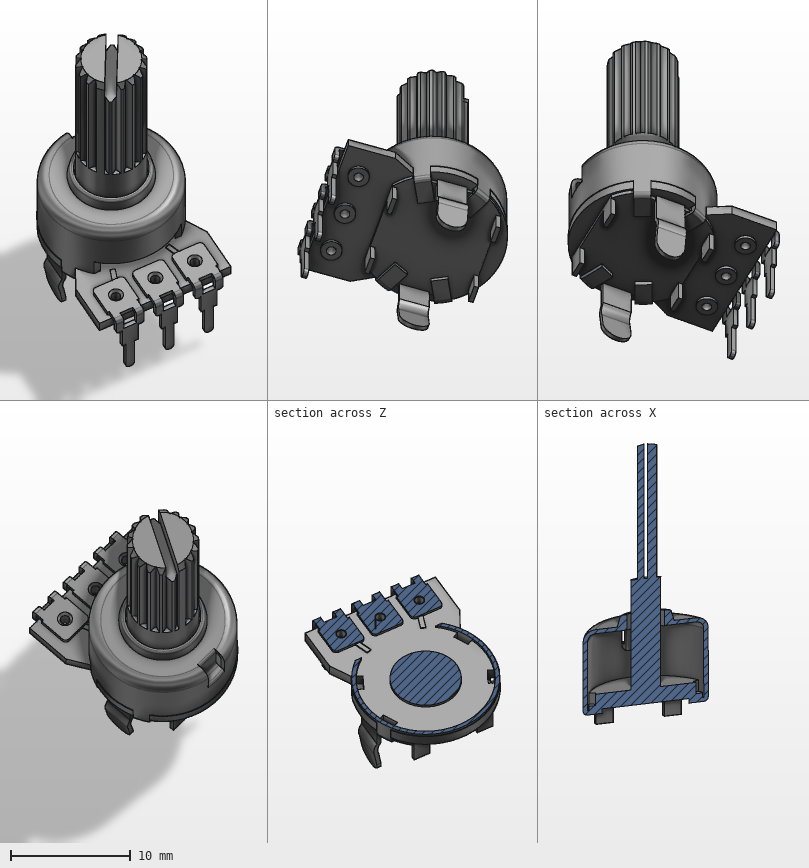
import cadquery as cq
import math


sheet = 0.4

wafer_thickness = 1.0
body_top = 6.7
collar_top = 7.7
spline_bottom = 10.7
shaft_top = 22.7

body_radius = 6.2
body_edge_fillet = 1.0
wall_inner_radius = body_radius - sheet
collar_base_radius = 3.7
collar_top_radius = 3.5
collar_fillet = 0.2
collar_bore_radius = 3.15
side_opening_x = 4.6
side_opening_top = 2.6

window_width = 2.0
window_wall_x = -5.15
window_depth = 2.55
window_floor = body_top - window_depth
window_round = 0.25
window_cove = 0.3

shaft_radius = 3.0
shaft_chamfer = 0.45
spline_count = 18
spline_root_radius = 2.5
spline_half_width_angle = 7.5
slot_width = 1.0
slot_depth = 2.0
slot_angle = 150.0
clipped_groove_angles = (160, 320)

wafer_radius = 6.25
wafer_end_x = 9.4
wafer_shoulder_x = 5.25
wafer_neck_x = 3.3
wafer_neck_y = 5.2

crimp_angle = 64.0
crimp_width = 1.44
crimp_bottom = -0.8
crimp_foot_inner_radius = 3.8
notch_inner_radius = 5.2

bracket_half_x = 4.75
bracket_half_y = 5.06
bracket_corner_radius = 6.1
leg_root_width = 3.66
leg_width = 2.6
leg_root_half_y = 5.2
leg_outer_y = 5.4
leg_bottom = -6.8
tab_width = 1.52
tab_center_y = 3.03
tab_bottom = -2.3

terminal_pitch = 3.75
pad_start_x = 6.2
pad_end_x = 8.97
pad_width = 3.0
pad_corner = 0.4
terminal_end_x = 10.2
bend_width = 2.65
bend_bottom = -0.27
bend_corner = 0.32
bend_slot_width = 1.2
bend_slot_x = 9.53
bend_slot_bottom = 0.05
shoulder_width = 1.52
shoulder_bottom = -2.3
pin_width = 0.84
pin_bottom = -5.53
rivet_x = 7.7
rivet_radius = 0.9
rivet_depth = 0.3
rivet_hole_radius = 0.4
rivet_flare_radius = 0.625

track_thickness = 0.1
track_width = 0.45
track_length = 1.6
track_start = (5.0, 2.6)
track_angle = 19.0


def block(x_range, y_range, z_range):
    """Axis-aligned box spanning the given coordinate ranges."""
    sizes = [high - low for low, high in (x_range, y_range, z_range)]
    corner = (x_range[0], y_range[0], z_range[0])
    return cq.Workplane("XY").box(*sizes, centered=False).translate(corner)


def cylinder(radius, bottom, top):
    """Cylinder on the shaft axis between two heights."""
    return cq.Workplane("XY").workplane(offset=bottom).circle(radius).extrude(top - bottom)


def make_window():
    """Cutter for the window: rounded upper lip, flat wall and coved floor."""
    outside_x = -body_radius - 1.0
    lip_x = window_wall_x + window_round
    cove_x = window_wall_x - window_cove
    profile = (
        cq.Workplane("XZ")
        .moveTo(outside_x, body_top)
        .lineTo(lip_x, body_top)
        .radiusArc((window_wall_x, body_top - window_round), -window_round)
        .lineTo(window_wall_x, window_floor + window_cove)
        .radiusArc((cove_x, window_floor), window_cove)
        .lineTo(outside_x, window_floor)
        .close()
    )
    return profile.extrude(window_width / 2, both=True)


def make_housing():
    """Hollow cup with its window, side opening and the collar around the shaft."""
    body = cylinder(body_radius, wafer_thickness, body_top)
    body = body.faces(">Z").edges().fillet(body_edge_fillet)
    collar = (
        cq.Workplane("XZ")
        .moveTo(0, body_top)
        .lineTo(collar_base_radius, body_top)
        .lineTo(collar_top_radius, collar_top)
        .lineTo(0, collar_top)
        .close()
        .revolve(360, (0, 0, 0), (0, 1, 0))
        .faces(">Z").edges().fillet(collar_fillet)
    )
    side_opening = block(
        (side_opening_x, body_radius), (-body_radius, body_radius), (wafer_thickness, side_opening_top)
    )
    cavity = cylinder(wall_inner_radius, wafer_thickness, body_top - sheet)
    cavity = cavity.faces(">Z").edges().fillet(body_edge_fillet - sheet)
    strap = block(
        (-wall_inner_radius, window_wall_x + sheet),
        (-window_width / 2, window_width / 2),
        (window_floor - sheet, body_top - sheet / 2),
    )
    body = body.cut(cavity).union(strap).cut(make_window())
    outer_lip = (-body_radius, 0, window_floor)
    body = body.edges(cq.selectors.NearestToPointSelector(outer_lip)).fillet(window_round)
    shaft_clearance = cylinder(collar_bore_radius, body_top - sheet, collar_top)
    return body.cut(side_opening).union(collar).cut(shaft_clearance)


def make_groove(degrees):
    """V-groove of the spline, centred on the given direction."""
    half_angle = math.radians(spline_half_width_angle)
    depth = shaft_radius * math.cos(half_angle) - spline_root_radius
    half_width = shaft_radius * math.sin(half_angle)
    overcut = 2
    tip_x = spline_root_radius + overcut * depth
    tip_y = overcut * half_width
    groove = (
        cq.Workplane("XY")
        .workplane(offset=spline_bottom)
        .polyline([(spline_root_radius, 0), (tip_x, tip_y), (tip_x, -tip_y)])
        .close()
        .extrude(shaft_top - spline_bottom)
    )
    return groove.rotate((0, 0, 0), (0, 0, 1), degrees)


def make_shaft():
    """Shaft with a screwdriver slot; the two grooves beside the slot stop at one of its side planes."""
    shaft = cylinder(shaft_radius, wafer_thickness, shaft_top).faces(">Z").chamfer(shaft_chamfer)
    span = 2 * shaft_radius
    slot_side = block((-span, span), (-slot_width / 2, span), (spline_bottom, shaft_top))
    slot_side = slot_side.rotate((0, 0, 0), (0, 0, 1), slot_angle - 180)
    for index in range(spline_count):
        degrees = index * 360 // spline_count
        groove = make_groove(degrees)
        if degrees in clipped_groove_angles:
            groove = groove.intersect(slot_side)
        shaft = shaft.cut(groove)
    slot = block((-span, span), (-slot_width / 2, slot_width / 2), (shaft_top - slot_depth, shaft_top))
    return shaft.cut(slot.rotate((0, 0, 0), (0, 0, 1), slot_angle))


def at_crimps(inner_radius, z_range):
    """Four radial boxes covering the crimp tab positions, reaching outward past the wafer."""
    boxes = cq.Workplane("XY")
    radial = block((inner_radius, wafer_radius), (-crimp_width / 2, crimp_width / 2), z_range)
    for degrees in (crimp_angle, 180 - crimp_angle, 180 + crimp_angle, 360 - crimp_angle):
        boxes = boxes.add(radial.rotate((0, 0, 0), (0, 0, 1), degrees))
    return boxes.combine()


def make_wafer():
    """Round wafer with a shouldered tail toward +X and notches for the crimp tabs."""
    half_width = wafer_radius
    outline = [
        (0, wafer_neck_y),
        (wafer_neck_x, wafer_neck_y),
        (wafer_shoulder_x, half_width),
        (wafer_end_x, half_width),
        (wafer_end_x, -half_width),
        (wafer_shoulder_x, -half_width),
        (wafer_neck_x, -wafer_neck_y),
        (0, -wafer_neck_y),
    ]
    tail = cq.Workplane("XY").polyline(outline).close().extrude(wafer_thickness)
    wafer = cylinder(wafer_radius, 0, wafer_thickness).union(tail)
    return wafer.cut(at_crimps(notch_inner_radius, (0, wafer_thickness)))


def make_crimps():
    """Four housing tabs passing down the wafer notches and bent inward beneath it."""
    cup = cylinder(body_radius, crimp_bottom, wafer_thickness)
    cup = cup.faces("<Z").edges().fillet(sheet)
    cup = cup.cut(cylinder(wall_inner_radius, crimp_bottom + sheet, wafer_thickness))
    return cup.intersect(at_crimps(crimp_foot_inner_radius, (crimp_bottom, wafer_thickness)))


def make_leg():
    """Snap-in leg on the -Y side: bulged profile with a round end."""
    bend_start = (-leg_outer_y, -2.85)
    bulge_peak = (-5.7, -3.5)
    bulge_end = (-5.63, -4.18)
    tip = (-5.22, leg_bottom)

    def inward(point):
        return (point[0] + sheet, point[1])

    profile = (
        cq.Workplane("YZ")
        .moveTo(-leg_outer_y, 0)
        .lineTo(*bend_start)
        .threePointArc(bulge_peak, bulge_end)
        .lineTo(*tip)
        .lineTo(*inward(tip))
        .lineTo(*inward(bulge_end))
        .threePointArc(inward(bulge_peak), inward(bend_start))
        .lineTo(sheet - leg_outer_y, 0)
        .close()
        .extrude(leg_width / 2, both=True)
    )
    return profile.intersect(round_ended_strip("XZ", leg_width, 0, leg_bottom, 2 * leg_outer_y))


def round_ended_strip(plane, width, top, bottom, depth):
    """Vertical strip with a semicircular lower end, extruded both ways from the plane."""
    half = width / 2
    return (
        cq.Workplane(plane)
        .moveTo(-half, top)
        .lineTo(-half, bottom + half)
        .threePointArc((0, bottom), (half, bottom + half))
        .lineTo(half, top)
        .close()
        .extrude(depth, both=True)
    )


def make_bracket():
    """Flat plate with two snap-in legs and four locating tabs bent down from its ends."""
    plate = block(
        (-bracket_half_x, bracket_half_x), (-bracket_half_y, bracket_half_y), (-sheet, 0)
    ).intersect(cylinder(bracket_corner_radius, -sheet, 0))
    roots = block((-leg_root_width / 2, leg_root_width / 2), (-leg_root_half_y, leg_root_half_y), (-sheet, 0))
    leg = make_leg()
    bracket = plate.union(roots).union(leg).union(leg.mirror("XZ"))
    for x_start in (-bracket_half_x, bracket_half_x - sheet):
        for y_center in (-tab_center_y, tab_center_y):
            y_range = (y_center - tab_width / 2, y_center + tab_width / 2)
            bracket = bracket.union(block((x_start, x_start + sheet), y_range, (tab_bottom, 0)))
    return bracket


def make_terminal():
    """Riveted pad that bends down at its outer end into a pin; centred on Y = 0."""
    pad_top = wafer_thickness + sheet
    leg_x = terminal_end_x - sheet

    def centered(width):
        return (-width / 2, width / 2)

    pad = block((pad_start_x, pad_end_x), centered(pad_width), (wafer_thickness, pad_top))
    pad = pad.edges("|Z and <X").fillet(pad_corner)
    bend = block((pad_start_x + pad_corner, terminal_end_x), centered(bend_width), (bend_bottom, pad_top))
    bend = bend.edges("|Y and >X and >Z").fillet(sheet)
    bend = bend.cut(
        block((pad_start_x, leg_x), centered(bend_width), (bend_bottom, wafer_thickness))
    )
    bend = bend.edges("|X and <Z").fillet(bend_corner)
    bend_slot = block((bend_slot_x, terminal_end_x), centered(bend_slot_width), (bend_slot_bottom, pad_top))
    shoulder = block((leg_x, terminal_end_x), centered(shoulder_width), (shoulder_bottom, bend_bottom))
    pin = round_ended_strip("YZ", pin_width, shoulder_bottom, pin_bottom, sheet / 2)
    pin = pin.translate((leg_x + sheet / 2, 0, 0))
    rivet = cylinder(rivet_radius, -rivet_depth, wafer_thickness).translate((rivet_x, 0, 0))
    return pad.union(bend).cut(bend_slot).union(shoulder).union(pin).union(rivet)


def make_rivet_hole():
    """Through hole with a flared mouth, centred on Y = 0."""
    pad_top = wafer_thickness + sheet
    flare_depth = rivet_flare_radius - rivet_hole_radius
    return (
        cq.Workplane("XZ")
        .moveTo(0, -rivet_depth)
        .lineTo(rivet_hole_radius, -rivet_depth)
        .lineTo(rivet_hole_radius, pad_top - flare_depth)
        .lineTo(rivet_flare_radius, pad_top)
        .lineTo(0, pad_top)
        .close()
        .revolve(360, (0, 0, 0), (0, 1, 0))
        .translate((rivet_x, 0, 0))
    )


def make_track():
    """Raised track on the +Y half of the wafer, running from the housing to the outer pad."""
    strip = block(
        (0, track_length), (-track_width / 2, track_width / 2), (0, track_thickness)
    )
    strip = strip.rotate((0, 0, 0), (0, 0, 1), track_angle)
    return strip.translate((track_start[0], track_start[1], wafer_thickness))


result = make_housing().union(make_shaft()).union(make_wafer()).union(make_crimps())
result = result.union(make_bracket())

track = make_track()
result = result.union(track).union(track.mirror("XZ"))

terminal = make_terminal()
rivet_hole = make_rivet_hole()
for row in (-1, 0, 1):
    offset = (0, row * terminal_pitch, 0)
    result = result.union(terminal.translate(offset)).cut(rivet_hole.translate(offset))